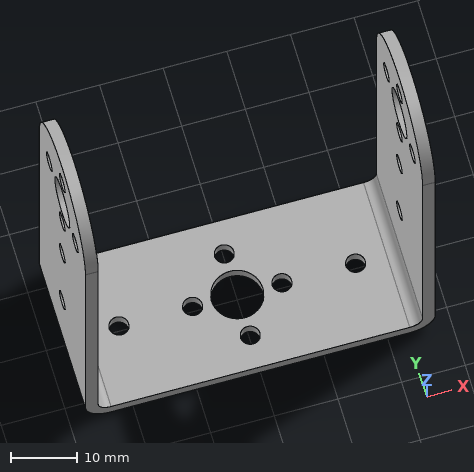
import cadquery as cq

length = 55.0
width = 25.0
height = 65.0

thickness = 2.0
inner_bend_radius = 2.0
outer_bend_radius = inner_bend_radius + thickness

end_radius = width / 2
arm_hole_height = height - end_radius

bore_diameter = 8.0
screw_diameter = 3.0
ring_radius = 7.0
outer_screw_offset = 18.6
lower_screw_offset = 35.6


def bent_sheet():
    """U-shaped channel with rounded bends, open at the top."""
    outside = (
        cq.Workplane("XY")
        .box(length, width, height, centered=(True, True, False))
        .edges("|Y and <Z")
        .fillet(outer_bend_radius)
    )
    inside = (
        cq.Workplane("XY", origin=(0, 0, thickness))
        .box(length - 2 * thickness, width, height, centered=(True, True, False))
        .edges("|Y and <Z")
        .fillet(inner_bend_radius)
    )
    return outside.cut(inside)


def arm_outline():
    """Block with a half-round top that shapes the free ends of both arms."""
    return (
        cq.Workplane("YZ")
        .moveTo(-end_radius, 0)
        .lineTo(end_radius, 0)
        .lineTo(end_radius, arm_hole_height)
        .threePointArc((0, height), (-end_radius, arm_hole_height))
        .close()
        .extrude(length, both=True)
    )


def hole_tools(plane, extra_points, depth):
    """Cutters for a bore, its screw ring and extra screws, centred on the plane."""
    ring_points = [(ring_radius, 0), (-ring_radius, 0), (0, ring_radius), (0, -ring_radius)]
    bore = plane.circle(bore_diameter / 2).extrude(depth, both=True)
    screws = (
        plane.pushPoints(ring_points + extra_points)
        .circle(screw_diameter / 2)
        .extrude(depth, both=True)
    )
    return bore.union(screws)


sheet = bent_sheet().intersect(arm_outline())

arm_plane = cq.Workplane("YZ", origin=(0, 0, arm_hole_height))
arm_holes = hole_tools(arm_plane, [(0, -outer_screw_offset), (0, -lower_screw_offset)], length)

base_plane = cq.Workplane("XY")
base_holes = hole_tools(base_plane, [(outer_screw_offset, 0), (-outer_screw_offset, 0)], outer_bend_radius)

result = sheet.cut(arm_holes).cut(base_holes)